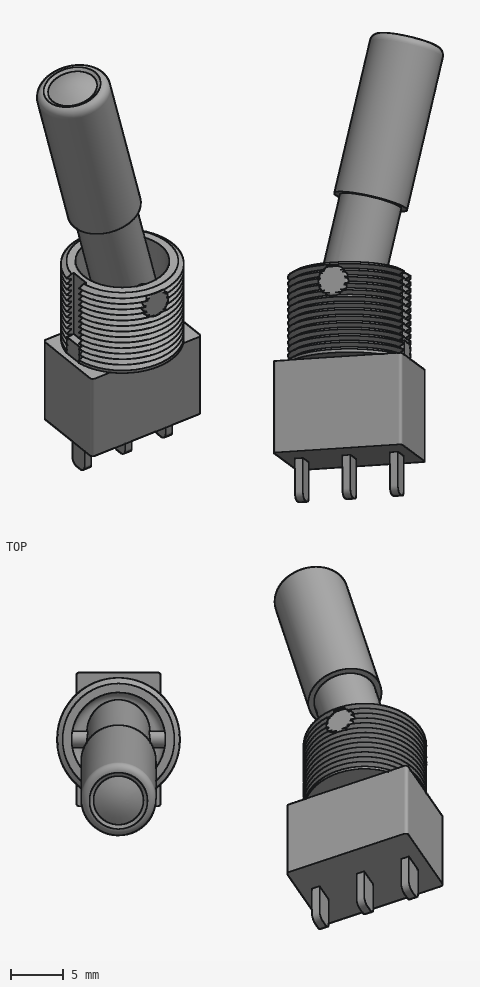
import cadquery as cq
import math

BODY_X = 8.0
BODY_Y = 12.7
BODY_HEIGHT = 8.9
BODY_BOTTOM = 4.0
BODY_TOP = BODY_BOTTOM + BODY_HEIGHT
CORNER_RADIUS = 0.3

TERMINAL_WIDTH = 2.0
TERMINAL_THICKNESS = 0.8
TERMINAL_PITCH = 4.7
TERMINAL_TIP_RADIUS = 0.7

BUSHING_HEIGHT = 8.9
BUSHING_TOP = BODY_TOP + BUSHING_HEIGHT
CREST_RADIUS = 11.7 / 2
THREAD_DEPTH = 0.55
ROOT_RADIUS = CREST_RADIUS - THREAD_DEPTH
THREAD_TURNS = 14
THREAD_PITCH = BUSHING_HEIGHT / THREAD_TURNS
BORE_DIAMETER = 8.9
BORE_DEPTH = 4.55
BORE_FLOOR = BUSHING_TOP - BORE_DEPTH
BORE_FILLET = 0.8

KEYWAY_WIDTH = 2.0
KEYWAY_FLOOR = 4.92
KEY_FACE = 5.75
KEY_HEIGHT = 1.9

PIVOT_DROP = 1.8
PIVOT_Z = BUSHING_TOP - PIVOT_DROP
PIN_DIAMETER = 1.55
HEAD_DIAMETER = 2.95
HEAD_FACE = 5.6
HEAD_SEAT = 4.92
HEAD_ROUND = 0.22

TILT = 13.6
STEM_DIAMETER = 6.0
STEM_TAIL = 3.6
HANDLE_DIAMETER = 7.1
HANDLE_START = 8.95
HANDLE_LENGTH = 15.85
HANDLE_ROUND = 0.8
DOME_DIAMETER = 4.75
DOME_SPHERE_RADIUS = 5.37
DOME_RISE = 0.35


def make_body():
    return (
        cq.Workplane("XY", origin=(0, 0, BODY_BOTTOM))
        .rect(BODY_X, BODY_Y)
        .extrude(BODY_HEIGHT)
        .edges("|Z")
        .fillet(CORNER_RADIUS)
    )


def make_terminal(y):
    return (
        cq.Workplane("XY", origin=(0, y, 0))
        .rect(TERMINAL_WIDTH, TERMINAL_THICKNESS)
        .extrude(BODY_BOTTOM)
        .faces("<Z")
        .edges("|Y")
        .fillet(TERMINAL_TIP_RADIUS)
    )


def make_front_block(inner, outer, height):
    """Block as wide as the keyway, standing on the housing between two distances in front of the axis."""
    return (
        cq.Workplane("XY", origin=(0, -(inner + outer) / 2, BODY_TOP))
        .rect(KEYWAY_WIDTH, outer - inner)
        .extrude(height)
    )


def make_bushing():
    profile = cq.Workplane("XZ").moveTo(0, BODY_TOP).lineTo(CREST_RADIUS, BODY_TOP)
    for turn in range(THREAD_TURNS):
        ridge_bottom = BODY_TOP + turn * THREAD_PITCH
        profile = profile.lineTo(CREST_RADIUS, ridge_bottom + THREAD_PITCH / 2)
        profile = profile.lineTo(ROOT_RADIUS, ridge_bottom + THREAD_PITCH)
    bushing = profile.lineTo(0, BUSHING_TOP).close().revolve(360, (0, 0, 0), (0, 1, 0))

    bore = (
        cq.Workplane("XY", origin=(0, 0, BORE_FLOOR))
        .circle(BORE_DIAMETER / 2)
        .extrude(BORE_DEPTH)
        .faces("<Z")
        .edges()
        .fillet(BORE_FILLET)
    )
    keyway = make_front_block(KEYWAY_FLOOR, CREST_RADIUS, BUSHING_HEIGHT)
    key = make_front_block(KEYWAY_FLOOR, KEY_FACE, KEY_HEIGHT)
    return bushing.cut(bore).cut(keyway).union(key)


def make_rod(diameter, start, end):
    """Round rod along X at pivot height."""
    return cq.Workplane("YZ", origin=(start, 0, PIVOT_Z)).circle(diameter / 2).extrude(end - start)


def make_lever():
    """Stem and handle turned about an upright axis, then tilted toward -Y about the pivot."""
    handle_end = HANDLE_START + HANDLE_LENGTH
    stem_radius = STEM_DIAMETER / 2
    handle_radius = HANDLE_DIAMETER / 2
    dome_top = handle_end + DOME_RISE
    dome_radius = DOME_DIAMETER / 2
    rim_radius = handle_radius - HANDLE_ROUND
    round_start = handle_end - HANDLE_ROUND
    round_middle = HANDLE_ROUND * math.sqrt(0.5)

    def dome_height_at(radius):
        return dome_top - DOME_SPHERE_RADIUS + math.sqrt(DOME_SPHERE_RADIUS**2 - radius**2)

    return (
        cq.Workplane("XZ")
        .moveTo(0, -STEM_TAIL)
        .lineTo(stem_radius, -STEM_TAIL)
        .lineTo(stem_radius, HANDLE_START)
        .lineTo(handle_radius, HANDLE_START)
        .lineTo(handle_radius, round_start)
        .threePointArc((rim_radius + round_middle, round_start + round_middle), (rim_radius, handle_end))
        .lineTo(dome_radius, dome_height_at(dome_radius))
        .threePointArc((dome_radius / 2, dome_height_at(dome_radius / 2)), (0, dome_top))
        .close()
        .revolve(360, (0, 0, 0), (0, 1, 0))
        .rotate((0, 0, 0), (1, 0, 0), TILT)
        .translate((0, 0, PIVOT_Z))
    )


result = make_body().union(make_bushing()).union(make_lever())
result = result.union(make_rod(PIN_DIAMETER, -BORE_DIAMETER / 2, BORE_DIAMETER / 2))
for side in (-1, 1):
    result = result.cut(make_rod(HEAD_DIAMETER, side * HEAD_FACE, side * CREST_RADIUS))
    head = make_rod(HEAD_DIAMETER, side * HEAD_SEAT, side * HEAD_FACE)
    outer_face = ">X" if side > 0 else "<X"
    result = result.union(head.faces(outer_face).edges().fillet(HEAD_ROUND))
for position in (-1, 0, 1):
    result = result.union(make_terminal(position * TERMINAL_PITCH))